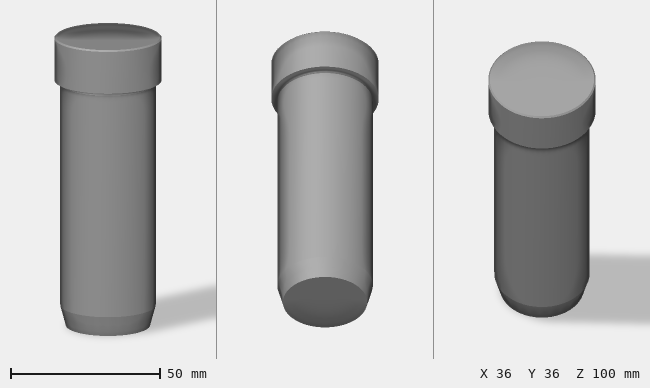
import cadquery as cq
import math

total_length = 100.0
head_diameter = 36.0
head_height = 15.0
head_edge_chamfer = 0.5
shank_diameter = 32.0
groove_width = 1.2
groove_depth = 0.5
groove_fillet = 0.5
lead_in_height = 7.0
lead_in_angle = 15.0

head_radius = head_diameter / 2
shank_radius = shank_diameter / 2
groove_radius = shank_radius - groove_depth
tip_radius = shank_radius - lead_in_height * math.tan(math.radians(lead_in_angle))
head_bottom = total_length - head_height
groove_bottom = head_bottom - groove_width

half_profile = (
    cq.Workplane("XZ")
    .moveTo(0, 0)
    .lineTo(tip_radius, 0)
    .lineTo(shank_radius, lead_in_height)
    .lineTo(shank_radius, groove_bottom)
    .lineTo(groove_radius, head_bottom - groove_fillet)
    .radiusArc((groove_radius + groove_fillet, head_bottom), groove_fillet)
    .lineTo(head_radius, head_bottom)
    .lineTo(head_radius, total_length - head_edge_chamfer)
    .lineTo(head_radius - head_edge_chamfer, total_length)
    .lineTo(0, total_length)
    .close()
)

result = half_profile.revolve(360, (0, 0, 0), (0, 1, 0))